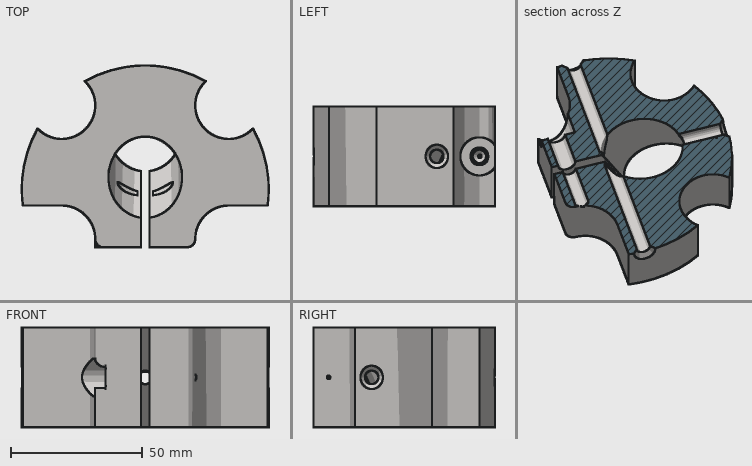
import cadquery as cq
import math

height = 38.1
outer_radius = 47.0
front_y = -22.225
neck_half_width = 19.05

notch_radius = 12.7
notch_offset = neck_half_width + notch_radius
lower_notch_y = -19.05
shoulder_y = lower_notch_y + notch_radius

bore_diameter = 28.0
bore_tilt = 25.0
bore_centre_y = 13.29
bore_length = 3 * height

slit_width = 3.175
jaw_corner_radius = 3.175

screw_y = -16.2
screw_clearance_diameter = 6.76
screw_tap_diameter = 5.11
screw_head_diameter = 14.5
screw_seat_x = -15.08
tap_end_x = 18.16
drill_point_angle = 118.0

set_hole_diameter = 5.11
set_sink_diameter = 8.9
set_sink_angle = 90.0
side_hole_depth = 44.0
rear_hole_depth = 19.25
bore_wall = 0.2


def cone_height(large_diameter, small_diameter, angle):
    return (large_diameter - small_diameter) / 2 / math.tan(math.radians(angle / 2))


def along_x(start_x, end_x, diameter):
    """Cylinder on the clamp screw axis."""
    return (
        cq.Workplane("YZ", origin=(start_x, screw_y, 0))
        .circle(diameter / 2)
        .extrude(end_x - start_x)
    )


def make_body():
    disc = cq.Workplane("XY").circle(outer_radius).extrude(height / 2, both=True)
    rear_depth = outer_radius - front_y
    keep = (
        cq.Workplane("XY")
        .center(0, front_y + rear_depth / 2)
        .rect(2 * outer_radius, rear_depth)
        .extrude(height / 2, both=True)
    )
    return disc.intersect(keep)


def make_upper_notches():
    centres = [(side * notch_offset, notch_offset) for side in (-1, 1)]
    return (
        cq.Workplane("XY")
        .pushPoints(centres)
        .circle(notch_radius)
        .extrude(height / 2, both=True)
    )


def make_lower_notch():
    """Clearance beside the -X jaw, rounded where the jaw meets the shoulder."""
    return (
        cq.Workplane("XY")
        .moveTo(-neck_half_width, -outer_radius)
        .lineTo(-neck_half_width, lower_notch_y)
        .radiusArc((-notch_offset, shoulder_y), -notch_radius)
        .lineTo(-2 * outer_radius, shoulder_y)
        .lineTo(-2 * outer_radius, -outer_radius)
        .close()
        .extrude(height / 2, both=True)
    )


def make_bore(diameter):
    """Tilted cylinder on the bore axis."""
    return (
        cq.Workplane("XY")
        .circle(diameter / 2)
        .extrude(bore_length / 2, both=True)
        .rotate((0, 0, 0), (1, 0, 0), bore_tilt)
        .translate((0, bore_centre_y, 0))
    )


def make_slit():
    slit_length = bore_centre_y - front_y
    return (
        cq.Workplane("XY")
        .center(0, front_y + slit_length / 2)
        .rect(slit_width, slit_length)
        .extrude(height / 2, both=True)
    )


def make_corner_round(side, bottom_z, top_z):
    """Material outside the rounded front corner of one jaw."""
    corner_x = side * neck_half_width
    return (
        cq.Workplane("XY", origin=(0, 0, bottom_z))
        .moveTo(corner_x, front_y + jaw_corner_radius)
        .lineTo(corner_x, front_y)
        .lineTo(corner_x - side * jaw_corner_radius, front_y)
        .radiusArc((corner_x, front_y + jaw_corner_radius), -side * jaw_corner_radius)
        .close()
        .extrude(top_z - bottom_z)
    )


def make_screw_hole():
    head = along_x(-outer_radius, screw_seat_x, screw_head_diameter)
    clearance = along_x(screw_seat_x, 0, screw_clearance_diameter)
    tap = along_x(0, tap_end_x, screw_tap_diameter)
    point = cq.Workplane(
        cq.Solid.makeCone(
            screw_tap_diameter / 2,
            0,
            cone_height(screw_tap_diameter, 0, drill_point_angle),
            pnt=cq.Vector(tap_end_x, screw_y, 0),
            dir=cq.Vector(1, 0, 0),
        )
    )
    return head.union(clearance).union(tap).union(point)


def make_set_hole(direction, depth):
    """Countersunk hole drilled inwards from the rim, on the side given by a unit direction."""
    inward = cq.Vector(*direction) * -1
    rim = inward * -outer_radius
    drill = cq.Solid.makeCylinder(set_hole_diameter / 2, depth, rim, inward)
    sink = cq.Solid.makeCone(
        set_sink_diameter / 2,
        set_hole_diameter / 2,
        cone_height(set_sink_diameter, set_hole_diameter, set_sink_angle),
        rim,
        inward,
    )
    return cq.Workplane(drill.fuse(sink))


lower_notch = make_lower_notch()

result = make_body()
result = result.cut(make_upper_notches())
result = result.cut(lower_notch)
result = result.cut(lower_notch.mirror("YZ"))
result = result.cut(make_bore(bore_diameter))
result = result.cut(make_slit())
result = result.cut(make_corner_round(1, -height / 2, height / 2))
result = result.cut(make_corner_round(-1, 0, height / 2))
result = result.cut(make_screw_hole())

result = result.cut(make_set_hole((0, 1, 0), rear_hole_depth))
bore_sleeve = make_bore(bore_diameter + 2 * bore_wall)
for side in (-1, 1):
    result = result.cut(make_set_hole((side, 0, 0), side_hole_depth).cut(bore_sleeve))